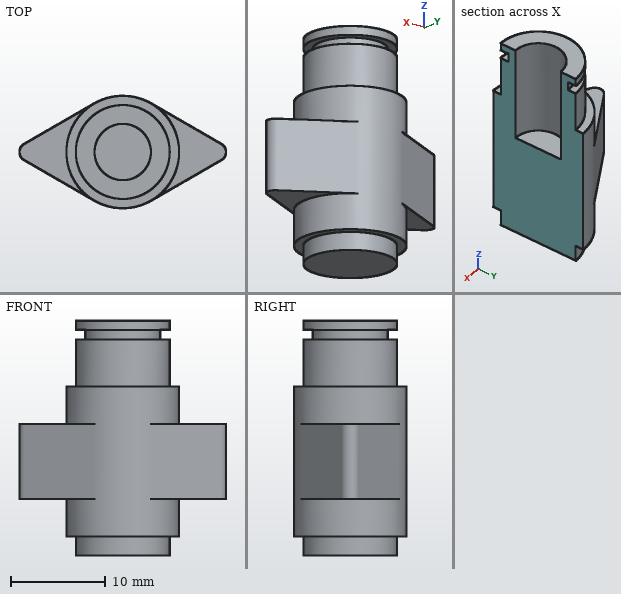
import cadquery as cq
import math

COLLAR_DIAMETER = 10.0
BODY_DIAMETER = 12.0
NECK_DIAMETER = 8.0
BODY_SECTIONS = [
    (COLLAR_DIAMETER, 2.0),
    (BODY_DIAMETER, 16.0),
    (COLLAR_DIAMETER, 5.0),
    (NECK_DIAMETER, 1.0),
    (COLLAR_DIAMETER, 1.0),
]

SOCKET_DIAMETER = 6.0
SOCKET_DEPTH = 12.0

WING_SPAN = 22.0
WING_TIP_RADIUS = 1.0
WING_BOTTOM = 6.0
WING_HEIGHT = 8.0


def make_body():
    """Stack the round sections into one stepped body."""
    body = cq.Workplane("XY")
    base = 0.0
    for diameter, height in BODY_SECTIONS:
        section = cq.Workplane("XY").workplane(offset=base).circle(diameter / 2).extrude(height)
        body = body.union(section)
        base += height
    return body


def make_wings():
    """Extrude both wings as one plate that crosses inside the barrel between the flank roots."""
    barrel_radius = BODY_DIAMETER / 2
    tip_center = WING_SPAN / 2 - WING_TIP_RADIUS
    tangent_angle = math.acos((barrel_radius - WING_TIP_RADIUS) / tip_center)
    normal_x = math.cos(tangent_angle)
    normal_y = math.sin(tangent_angle)
    root_x = barrel_radius * normal_x
    root_y = barrel_radius * normal_y
    tip_x = tip_center + WING_TIP_RADIUS * normal_x
    tip_y = WING_TIP_RADIUS * normal_y

    return (
        cq.Workplane("XY")
        .workplane(offset=WING_BOTTOM)
        .moveTo(root_x, root_y)
        .lineTo(tip_x, tip_y)
        .threePointArc((WING_SPAN / 2, 0), (tip_x, -tip_y))
        .lineTo(root_x, -root_y)
        .lineTo(-root_x, -root_y)
        .lineTo(-tip_x, -tip_y)
        .threePointArc((-WING_SPAN / 2, 0), (-tip_x, tip_y))
        .lineTo(-root_x, root_y)
        .close()
        .extrude(WING_HEIGHT)
    )


def make_socket():
    """Cylinder removed from the top face down to the socket floor."""
    total_height = sum(height for _, height in BODY_SECTIONS)
    return (
        cq.Workplane("XY")
        .workplane(offset=total_height - SOCKET_DEPTH)
        .circle(SOCKET_DIAMETER / 2)
        .extrude(SOCKET_DEPTH)
    )


result = make_body().union(make_wings()).cut(make_socket())